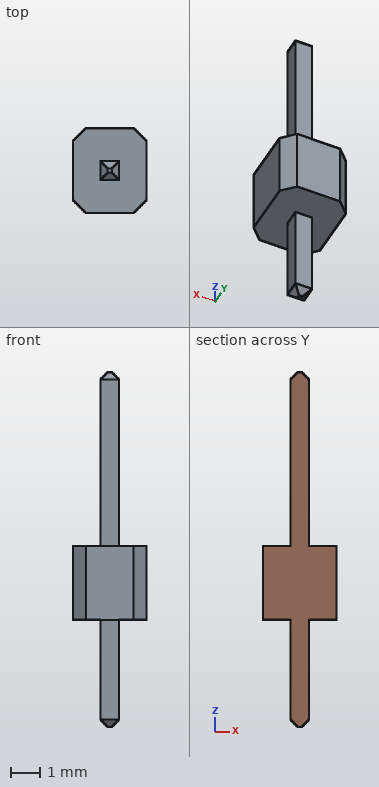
import cadquery as cq

HOUSING_X = 2.54
HOUSING_Y = 2.92
HOUSING_HEIGHT = 2.54
CORNER_CHAMFER = 0.45

PIN_WIDTH = 0.64
PIN_LENGTH = 12.19
PIN_ABOVE = 5.97
PIN_BELOW = PIN_LENGTH - HOUSING_HEIGHT - PIN_ABOVE
TIP_CHAMFER = 0.25


def make_housing():
    block = cq.Workplane("XY").box(HOUSING_X, HOUSING_Y, HOUSING_HEIGHT, centered=(True, True, False))
    return block.edges("|Z").chamfer(CORNER_CHAMFER)


def make_pin():
    shank = cq.Workplane("XY").box(PIN_WIDTH, PIN_WIDTH, PIN_LENGTH, centered=(True, True, False))
    pin = shank.faces("<Z or >Z").edges().chamfer(TIP_CHAMFER)
    return pin.translate((0, 0, -PIN_BELOW))


result = make_housing().union(make_pin())